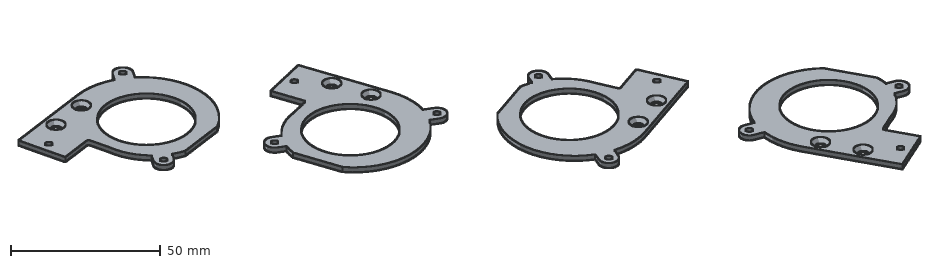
import cadquery as cq
import math

thickness = 2.0
total_length = 61.4
total_width = 50.65
foot_width = 19.05
step_height = 13.5
step_fillet = 0.75
flat_x = 50.0

opening_center = (27.75, 35.4)
opening_diameter = 33.0

upper_radius = 25.85
upper_center = (upper_radius, total_length - upper_radius)
lower_arc_start = (opening_center[0], step_height)
lower_arc_middle = (42.2, 17.05)
flat_bottom = 25.9

tab_radius = 3.5
tab_reach = 8
tab_hole_diameter = 2.45
upper_tab = (4.4, 55.55)
lower_tab = (total_width - tab_radius, 17.2)

screw_x = 4.7
screw_heights = (15.5, 30.5)
screw_diameter = 3.4
countersink_diameter = 6.45
countersink_angle = 90
foot_hole = (9.7, 3.9)
foot_hole_diameter = 2.45


def point_on_upper_arc(angle):
    return (
        upper_center[0] + upper_radius * math.cos(angle),
        upper_center[1] + upper_radius * math.sin(angle),
    )


def make_body():
    flat_angle = math.acos((flat_x - upper_center[0]) / upper_radius)
    flat_top = point_on_upper_arc(flat_angle)
    arc_middle = point_on_upper_arc((flat_angle + math.pi) / 2)
    body = (
        cq.Workplane("XY")
        .lineTo(foot_width, 0)
        .lineTo(foot_width, step_height)
        .lineTo(*lower_arc_start)
        .threePointArc(lower_arc_middle, (flat_x, flat_bottom))
        .lineTo(*flat_top)
        .threePointArc(arc_middle, (0, upper_center[1]))
        .close()
        .extrude(thickness)
    )
    step_corner = cq.selectors.NearestToPointSelector((foot_width, step_height, thickness / 2))
    return body.edges("|Z").edges(step_corner).fillet(step_fillet)


def make_tab(center, inward_angle):
    """Rounded tab around its hole center, with an arm reaching into the plate."""
    round_end = cq.Workplane("XY").center(*center).circle(tab_radius).extrude(thickness)
    arm = (
        cq.Workplane("XY")
        .rect(tab_reach, 2 * tab_radius)
        .extrude(thickness)
        .translate((tab_reach / 2, 0, 0))
        .rotate((0, 0, 0), (0, 0, 1), inward_angle)
        .translate((*center, 0))
    )
    return round_end.union(arm)


def drill(plate, centers, diameter):
    cutter = cq.Workplane("XY").pushPoints(centers).circle(diameter / 2).extrude(thickness)
    return plate.cut(cutter)


plate = make_body()
plate = plate.union(make_tab(upper_tab, -45))
plate = plate.union(make_tab(lower_tab, 135))

plate = drill(plate, [opening_center], opening_diameter)
plate = drill(plate, [upper_tab, lower_tab], tab_hole_diameter)
plate = drill(plate, [foot_hole], foot_hole_diameter)

result = (
    plate.faces(">Z")
    .workplane(origin=(0, 0, thickness))
    .pushPoints([(screw_x, height) for height in screw_heights])
    .cskHole(screw_diameter, countersink_diameter, countersink_angle)
)